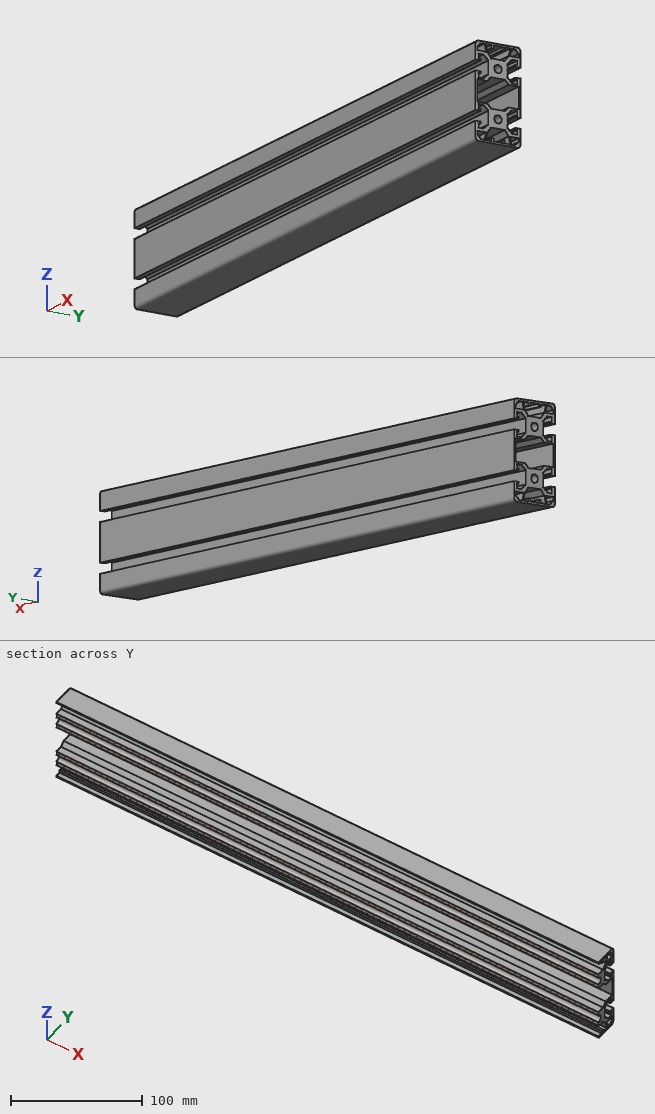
import cadquery as cq

length = 500.0
width = 40.0
height = 80.0
corner_radius = 3.0
half_width = width / 2
half_height = height / 2
core_height = height / 4

core_half_width = 8.5
core_half_height = 7.5
bore_diameter = 6.5
opening_half = 4.25
slot_half = 9.5
wall_thickness = 3.0
lip_thickness = 4.5
lip_height = 1.5
slot_flat_depth = 7.0
slot_floor_half = 5.5

skin = 1.75
corner_web = 2.5
inner_web = 1.5
divider_inner = 9.5
divider_thickness = 1.0
divider_lean = 1.5
corner_chamfer = 3.25
chamber_base_half = 6.0

rib_offset = 5.0
rib_width = 2.0
rib_depth = 2.5


def prism(points):
    """Full-length prism from a (Y, Z) outline."""
    return cq.Workplane("YZ").polyline(points).close().extrude(length / 2, both=True)


def mirrored_outline(half_points):
    """Complete a +Y half outline with its mirror image in -Y."""
    return half_points + [(-y, z) for y, z in reversed(half_points)]


def slot():
    """T-slot in the +Y face at the upper core."""
    lip_y = half_width - lip_thickness
    wall_y = half_width - wall_thickness
    flat_y = half_width - slot_flat_depth
    upper = [
        (half_width, opening_half),
        (lip_y, opening_half),
        (lip_y, opening_half + lip_height),
        (wall_y, opening_half + lip_height),
        (wall_y, slot_half),
        (flat_y, slot_half),
        (core_half_width, slot_floor_half),
    ]
    outline = upper + [(y, -z) for y, z in reversed(upper)]
    return prism([(y, core_height + z) for y, z in outline])


def corner_chamber():
    """Closed chamber in the +Y, +Z corner."""
    outer_y = half_width - skin
    inner_y = divider_inner + divider_thickness
    top = half_height - skin
    bottom = core_height + slot_half + corner_web
    return prism([
        (inner_y, bottom),
        (outer_y, bottom),
        (outer_y, top - corner_chamfer),
        (outer_y - corner_chamfer, top),
        (inner_y + divider_lean, top),
    ])


def end_chamber():
    """Chamber between the upper core and the top skin, with two ribs on the skin."""
    top = half_height - skin
    shoulder = core_height + slot_half + corner_web
    chamber = prism(mirrored_outline([
        (chamber_base_half, core_height + core_half_height),
        (divider_inner, shoulder),
        (divider_inner + divider_lean, top),
    ]))
    for side in (-1, 1):
        rib = cq.Workplane("XY").box(length, rib_width, rib_depth)
        chamber = chamber.cut(rib.translate((0, side * rib_offset, top - rib_depth / 2)))
    return chamber


def middle_chamber():
    """Large chamber between the two cores."""
    outer_y = half_width - skin
    shoulder = core_height - slot_half - inner_web
    upper = [
        (outer_y, shoulder),
        (divider_inner, shoulder),
        (chamber_base_half, core_height - core_half_height),
    ]
    right = [(y, -z) for y, z in reversed(upper)] + upper
    return prism(mirrored_outline(right))


result = cq.Workplane("XY").box(length, width, height).edges("|X").fillet(corner_radius)
result = result.cut(middle_chamber())

bore = cq.Workplane("YZ").center(0, core_height).circle(bore_diameter / 2).extrude(length / 2, both=True)
for upper_cut in (end_chamber(), bore):
    result = result.cut(upper_cut).cut(upper_cut.mirror("XY"))

for corner_cut in (slot(), corner_chamber()):
    for side_cut in (corner_cut, corner_cut.mirror("XZ")):
        result = result.cut(side_cut).cut(side_cut.mirror("XY"))